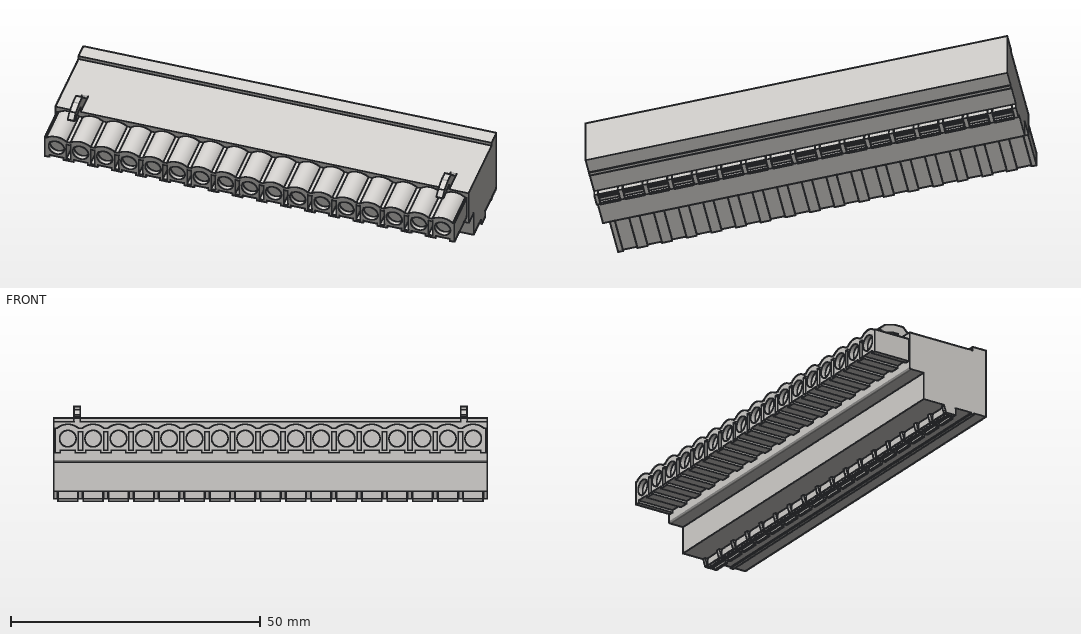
import cadquery as cq

length = 87.0
pole_count = 17
pitch = 5.08

housing_depth = 18.4
housing_height = 13.9
lip_depth = 3.2
lip_height = 0.8
undercut_depth = 3.4
undercut_height = 5.8
undercut_edge_radius = 0.35
bead_offset = 2.9
bead_width = 0.7
bead_height = 0.3

barrel_length = 8.2
barrel_row_end_gap = 0.35
barrel_bottom = 7.65
barrel_valley = 12.6
barrel_top = 13.4
valley_width = 0.8
bore_radius = 1.65
bore_height = 10.5
bore_depth = 1.05
slot_width = 0.9
slot_bottom = 8.2
slot_top = 11.9
relief_width = 3.0
relief_height = 0.5

latch_width = 1.3
latch_spacing = 77.6
latch_top = 17.0
latch_flare_end = 5.0
latch_flare_middle = (4.2, 14.1)
latch_flare_start = (3.65, 14.4)
latch_crest_back = 1.1
latch_crest_front = -0.9
latch_underside = 15.1
latch_nose = [(-3.2, 16.35), (-4.5, 15.3), (-4.2, 14.9), (-3.5, 14.6), (-1.5, latch_underside)]

foot_width = 4.0
foot_back = 7.4
foot_front = 9.65
foot_depth = 1.6
prong_depth = 2.1
prong_step = 0.13
prong_root = 0.6
prong_tip = 0.4
rib_front = 10.2
rib_clearance = 0.1

pole_positions = [(i - (pole_count - 1) / 2) * pitch for i in range(pole_count)]
gap_positions = [x + pitch / 2 for x in pole_positions[:-1]]


def extrude_side_profile(points, center_x, width):
    """Extrude a closed (Y, Z) outline along X, centred on center_x."""
    sketch = cq.Workplane("YZ").polyline(points).close()
    return sketch.extrude(width / 2, both=True).translate((center_x, 0, 0))


def box(x_range, y_range, z_range):
    """Axis-aligned box from its lower and upper limits on each axis."""
    sizes = [high - low for low, high in (x_range, y_range, z_range)]
    corner = (x_range[0], y_range[0], z_range[0])
    return cq.Workplane("XY").box(*sizes, centered=False).translate(corner)


def make_housing():
    lip_front = housing_depth - lip_depth
    lip_top = housing_height + lip_height
    outline = [
        (undercut_depth, 0),
        (housing_depth, 0),
        (housing_depth, lip_top),
        (lip_front, lip_top),
        (lip_front, housing_height),
        (0, housing_height),
        (0, undercut_height),
        (undercut_depth, undercut_height),
    ]
    housing = extrude_side_profile(outline, 0, length)
    edge_point = (0, 0, undercut_height)
    housing = housing.edges(cq.selectors.NearestToPointSelector(edge_point)).fillet(undercut_edge_radius)
    bead_back = housing_depth - bead_offset
    bead = box((-length / 2, length / 2), (bead_back - bead_width, bead_back), (-bead_height, 0))
    return housing.union(bead)


def make_barrel_row():
    """Bar with one rounded crown per pole and flat valleys between the crowns."""
    half_row = length / 2 - barrel_row_end_gap
    half_crown = (pitch - valley_width) / 2
    outline = cq.Workplane("XZ").moveTo(-half_row, barrel_bottom).lineTo(-half_row, barrel_valley)
    for x in pole_positions:
        outline = outline.lineTo(x - half_crown, barrel_valley)
        outline = outline.threePointArc((x, barrel_top), (x + half_crown, barrel_valley))
    outline = outline.lineTo(half_row, barrel_valley).lineTo(half_row, barrel_bottom).close()
    row = outline.extrude(barrel_length)

    along_barrel = (-barrel_length, 0)
    relief_top = barrel_bottom + relief_height
    for x in pole_positions:
        x_range = (x - relief_width / 2, x + relief_width / 2)
        row = row.cut(box(x_range, along_barrel, (barrel_bottom, relief_top)))
    for x in gap_positions:
        x_range = (x - slot_width / 2, x + slot_width / 2)
        row = row.cut(box(x_range, along_barrel, (slot_bottom, slot_top)))

    bores = (
        cq.Workplane("XZ", origin=(0, -barrel_length, 0))
        .pushPoints([(x, bore_height) for x in pole_positions])
        .circle(bore_radius)
        .extrude(-bore_depth)
    )
    return row.cut(bores)


def make_latch(center_x):
    """Hook with a sloped back, a flared root and a nose reaching over the barrels."""
    outline = (
        cq.Workplane("YZ")
        .moveTo(0, housing_height)
        .lineTo(latch_flare_end, housing_height)
        .threePointArc(latch_flare_middle, latch_flare_start)
        .lineTo(latch_crest_back, latch_top)
        .lineTo(latch_crest_front, latch_top)
        .polyline(latch_nose, includeCurrent=True)
        .lineTo(0, latch_underside)
        .close()
    )
    return outline.extrude(latch_width / 2, both=True).translate((center_x, 0, 0))


def make_foot(center_x):
    """Key with two tapered prongs running along X."""
    back = housing_depth - foot_back
    front = housing_depth - foot_front
    prong_back = back - prong_step
    prong_front = front + prong_step
    outline = [
        (front, 0),
        (back, 0),
        (back, -foot_depth),
        (prong_back, -foot_depth),
        (prong_back, -prong_depth),
        (prong_back - prong_tip, -prong_depth),
        (prong_back - prong_root, -foot_depth),
        (prong_front + prong_root, -foot_depth),
        (prong_front + prong_tip, -prong_depth),
        (prong_front, -prong_depth),
        (prong_front, -foot_depth),
        (front, -foot_depth),
    ]
    return extrude_side_profile(outline, center_x, foot_width)


def make_rib(left, right):
    """Rib beside the feet, with its front sloping back to the foot front."""
    back = housing_depth - foot_back
    outline = [
        (housing_depth - rib_front, 0),
        (back, 0),
        (back, -foot_depth),
        (housing_depth - foot_front, -foot_depth),
    ]
    return extrude_side_profile(outline, (left + right) / 2, right - left)


result = make_housing().union(make_barrel_row())

for side in (-1, 1):
    result = result.union(make_latch(side * latch_spacing / 2))

for x in pole_positions:
    result = result.union(make_foot(x))

half_rib = (pitch - foot_width) / 2 - rib_clearance
for x in gap_positions:
    result = result.union(make_rib(x - half_rib, x + half_rib))

end_rib_inner = pole_positions[-1] + foot_width / 2 + rib_clearance
result = result.union(make_rib(-length / 2, -end_rib_inner))
result = result.union(make_rib(end_rib_inner, length / 2))